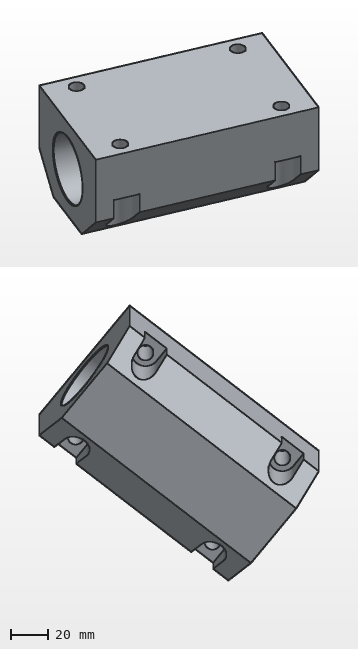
import cadquery as cq

width = 78
length = 130
height = 60.0
corner_cut = 19.5

bore_diameter = 40.0
bore_chamfer = 0.5
bore_height = height / 2

hole_diameter = 8.6
hole_spacing_x = 60.0
hole_spacing_y = 94.0
recess_width = 15.0
recess_roof = height - 28.9


def make_block():
    """Rectangular block with both lower long edges cut at 45 degrees."""
    block = cq.Workplane("XY").box(width, length, height, centered=(True, True, False))
    return block.edges("|Y and <Z").chamfer(corner_cut)


def cut_bore(body):
    """Through bore with a small chamfer at each end."""
    bore = (
        cq.Workplane("XZ")
        .center(0, bore_height)
        .circle(bore_diameter / 2)
        .extrude(length / 2, both=True)
    )
    return body.cut(bore).edges("%CIRCLE").chamfer(bore_chamfer)


def screw_cutter(side, y):
    """Through hole plus a U-shaped recess; side is -1 or 1 along X."""
    x = side * hole_spacing_x / 2
    hole = cq.Workplane("XY").center(x, y).circle(hole_diameter / 2).extrude(height)
    round_end = cq.Workplane("XY").center(x, y).circle(recess_width / 2).extrude(recess_roof)
    run_out = width / 2 - abs(x)
    opening = (
        cq.Workplane("XY")
        .center(x + side * run_out / 2, y)
        .rect(run_out, recess_width)
        .extrude(recess_roof)
    )
    return hole.union(round_end).union(opening)


result = cut_bore(make_block())
for side in (-1, 1):
    for y in (-hole_spacing_y / 2, hole_spacing_y / 2):
        result = result.cut(screw_cutter(side, y))